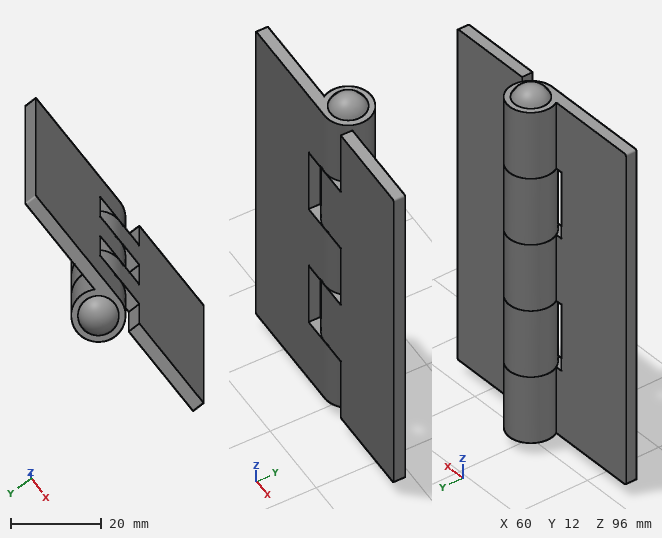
import cadquery as cq

total_height = 96.0
total_width = 60.0
barrel_diameter = 12.0
pin_diameter = 9.0
leaf_thickness = 3.0
dome_height = 3.0
knuckle_gap = 1.0
corner_radius = 0.5
knuckle_count = 5

leaf_height = total_height - 2 * dome_height
leaf_reach = total_width / 2
knuckle_height = leaf_height / knuckle_count
barrel_radius = barrel_diameter / 2
pin_radius = pin_diameter / 2
notch_edge = barrel_radius + knuckle_gap


def knuckle_bottom(index):
    return -leaf_height / 2 + index * knuckle_height


def make_plate():
    """Flat plate on the -X side, tangent to the barrel, with rounded outer corners."""
    plate = cq.Workplane("XY").box(
        leaf_reach, leaf_thickness, leaf_height, centered=(False, False, True)
    )
    plate = plate.translate((-leaf_reach, -barrel_radius, 0))
    return plate.edges("<X and |Y").fillet(corner_radius)


def make_notch(index):
    """Clearance in the plate for one knuckle of the opposite leaf."""
    notch = cq.Workplane("XY").box(
        notch_edge, barrel_diameter, knuckle_height, centered=(False, True, False)
    )
    return notch.translate((-notch_edge, 0, knuckle_bottom(index)))


def make_knuckle(index):
    return (
        cq.Workplane("XY", origin=(0, 0, knuckle_bottom(index)))
        .circle(barrel_radius)
        .extrude(knuckle_height)
    )


def make_leaf(first_knuckle):
    """Leaf on the -X side that carries every second knuckle from first_knuckle up."""
    own_knuckles = range(first_knuckle, knuckle_count, 2)
    leaf = make_plate()
    for index in range(knuckle_count):
        if index in own_knuckles:
            leaf = leaf.union(make_knuckle(index))
        else:
            leaf = leaf.cut(make_notch(index))
    pin_bore = cq.Workplane("XY").circle(pin_radius).extrude(leaf_height / 2, both=True)
    return leaf.cut(pin_bore)


def make_pin():
    """Pin that fills the bore and ends in a shallow spherical dome above and below."""
    shoulder = leaf_height / 2
    tip = total_height / 2
    dome_radius = (pin_radius**2 + dome_height**2) / (2 * dome_height)
    dome_centre = tip - dome_radius
    dome = cq.Workplane("XY").sphere(dome_radius).translate((0, 0, dome_centre))
    core = cq.Workplane("XY").circle(pin_radius).extrude(shoulder, both=True)
    cap_space = (
        cq.Workplane("XY", origin=(0, 0, shoulder))
        .circle(barrel_radius)
        .extrude(dome_height)
    )
    cap = dome.intersect(cap_space)
    return core.union(cap).union(cap.mirror("XY"))


left_leaf = make_leaf(first_knuckle=0)
right_leaf = make_leaf(first_knuckle=1).mirror("YZ")
pin = make_pin()

bodies = [left_leaf, right_leaf, pin]
result = cq.Compound.makeCompound([body.solids().val() for body in bodies])